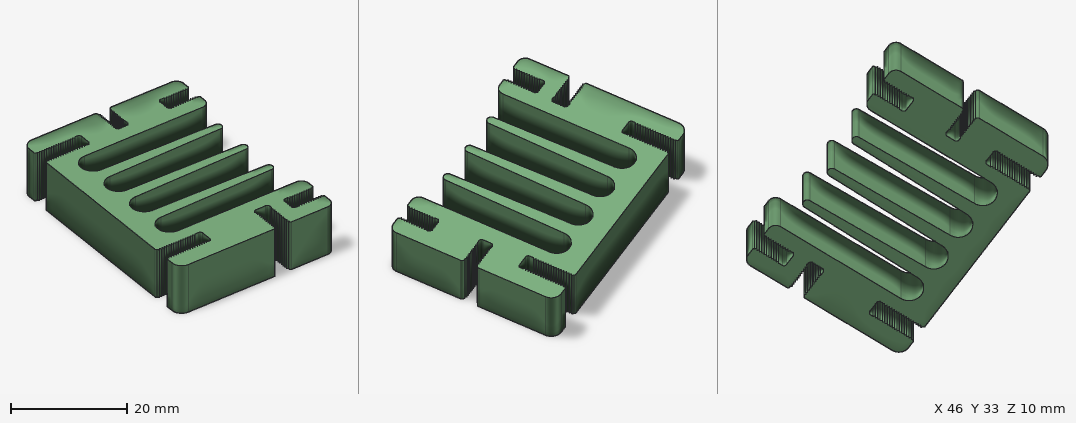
import cadquery as cq
import math

LENGTH_X = 46.0
WIDTH_Y = 33.0
HEIGHT_Z = 10.0
HALF_X = LENGTH_X / 2
HALF_Y = WIDTH_Y / 2
FRONT_CORNER_RADIUS = 2.0
REAR_CORNER_RADIUS = 1.5

FIN_COUNT = 3
FIN_ROOT_WIDTH = 2.5
FIN_TIP_WIDTH = 1.6
FIN_TIP_SETBACK = 2.0
GAP_WIDTH = 5.0
FLOOR_THICKNESS = 4.0
FIN_PITCH = GAP_WIDTH + FIN_ROOT_WIDTH
GAP_RADIUS = GAP_WIDTH / 2
BAY_WIDTH = (FIN_COUNT + 1) * GAP_WIDTH + FIN_COUNT * FIN_ROOT_WIDTH
GAP_CENTER_Y = -HALF_Y + FLOOR_THICKNESS + GAP_RADIUS

M3_WIDTH = 3.1
M3_PITCH = 0.5
M3_MOUTH_RADIUS = 0.25
M25_WIDTH = 2.6
M25_PITCH = 0.45
M25_MOUTH_RADIUS = 0.5
TOOTH_HEIGHT_PER_PITCH = 0.55
SLOT_FLOOR_RADIUS = 0.5
PLAIN_END_LENGTH = 1.0
SHORT_M3_DEPTH = 6.5
FRONT_M3_DEPTH = 9.5
M25_DEPTH = 6.0

REAR_SLOT_INSET = 4.7
FRONT_SLOT_INSET = 5.2
REAR_SLOT_X = HALF_X - REAR_SLOT_INSET
FRONT_SLOT_X = HALF_X - FRONT_SLOT_INSET
LEFT_SLOT_Y = 0.5
RIGHT_SLOT_Y = 5.5

ROUNDING_SLACK = 1e-6
ARC_MIDPOINT = math.sqrt(0.5)


def block():
    """Plain block with rounded front corners."""
    body = cq.Workplane("XY").box(LENGTH_X, WIDTH_Y, HEIGHT_Z, centered=(True, True, False))
    return body.edges("|Z and <Y").fillet(FRONT_CORNER_RADIUS)


def bay():
    """Central opening whose outline leaves the tapered, round-tipped fins standing."""
    tip_radius = FIN_TIP_WIDTH / 2
    tip_end_y = HALF_Y - FIN_TIP_SETBACK
    tip_center_y = tip_end_y - tip_radius
    outline = cq.Workplane("XY").moveTo(-BAY_WIDTH / 2, HALF_Y)
    outline = outline.lineTo(-BAY_WIDTH / 2, GAP_CENTER_Y)
    for gap in range(FIN_COUNT + 1):
        gap_x = (gap - FIN_COUNT / 2) * FIN_PITCH
        outline = outline.threePointArc(
            (gap_x, GAP_CENTER_Y - GAP_RADIUS), (gap_x + GAP_RADIUS, GAP_CENTER_Y)
        )
        if gap < FIN_COUNT:
            fin_x = gap_x + FIN_PITCH / 2
            outline = outline.lineTo(fin_x - tip_radius, tip_center_y)
            outline = outline.threePointArc((fin_x, tip_end_y), (fin_x + tip_radius, tip_center_y))
            outline = outline.lineTo(fin_x + FIN_ROOT_WIDTH / 2, GAP_CENTER_Y)
    return outline.lineTo(BAY_WIDTH / 2, HALF_Y).close().extrude(HEIGHT_Z)


def serration(wall_x, start, end, pitch):
    """Points of the whole teeth that fit between two depths, pointing toward the slot axis."""
    tip_x = wall_x - math.copysign(TOOTH_HEIGHT_PER_PITCH * pitch, wall_x)
    count = math.floor((end - start) / pitch + ROUNDING_SLACK)
    points = [(wall_x, start)]
    for tooth in range(count):
        root = start + tooth * pitch
        points.append((tip_x, root + pitch / 2))
        points.append((wall_x, root + pitch))
    return points


def screw_slot(width, depth, pitch, mouth_radius):
    """Slot cutter with its mouth centred on the origin, running along +Y.

    The teeth on the -X wall start half a pitch later than those on the +X wall.
    """
    half = width / 2
    teeth_end = depth - PLAIN_END_LENGTH
    late_wall = serration(-half, mouth_radius + pitch / 2, teeth_end, pitch)
    early_wall = serration(half, mouth_radius, teeth_end, pitch)
    mouth_sag = mouth_radius * (1 - ARC_MIDPOINT)
    floor_sag = SLOT_FLOOR_RADIUS * (1 - ARC_MIDPOINT)
    floor_start = depth - SLOT_FLOOR_RADIUS
    floor_half = half - SLOT_FLOOR_RADIUS

    outline = cq.Workplane("XY").moveTo(-half - mouth_radius, 0)
    outline = outline.threePointArc((-half - mouth_sag, mouth_sag), (-half, mouth_radius))
    for point in late_wall:
        outline = outline.lineTo(*point)
    outline = outline.lineTo(-half, floor_start)
    outline = outline.threePointArc((-half + floor_sag, depth - floor_sag), (-floor_half, depth))
    outline = outline.lineTo(floor_half, depth)
    outline = outline.threePointArc((half - floor_sag, depth - floor_sag), (half, floor_start))
    for point in reversed(early_wall[1:]):
        outline = outline.lineTo(*point)
    outline = outline.lineTo(half, mouth_radius)
    outline = outline.threePointArc((half + mouth_sag, mouth_sag), (half + mouth_radius, 0))
    return outline.close().extrude(HEIGHT_Z)


def place(cutter, x, y, angle):
    """Turn a slot cutter about Z and move its mouth to (x, y)."""
    return cutter.rotate((0, 0, 0), (0, 0, 1), angle).translate((x, y, 0))


def mirrored(cutter):
    """The same cutter on the opposite X side."""
    return cutter.mirror("YZ")


result = block().cut(bay())

result = result.edges("|Z and >Y").fillet(REAR_CORNER_RADIUS)

short_m3_slot = screw_slot(M3_WIDTH, SHORT_M3_DEPTH, M3_PITCH, M3_MOUTH_RADIUS)
front_m3_slot = screw_slot(M3_WIDTH, FRONT_M3_DEPTH, M3_PITCH, M3_MOUTH_RADIUS)
rear_cutter = place(short_m3_slot, -REAR_SLOT_X, HALF_Y, 180)
front_cutter = place(front_m3_slot, -FRONT_SLOT_X, -HALF_Y, 0)
for cutter in (rear_cutter, front_cutter):
    result = result.cut(cutter).cut(mirrored(cutter))

m25_slot = screw_slot(M25_WIDTH, M25_DEPTH, M25_PITCH, M25_MOUTH_RADIUS)
result = result.cut(place(m25_slot, -HALF_X, LEFT_SLOT_Y, -90))
result = result.cut(mirrored(place(short_m3_slot, -HALF_X, RIGHT_SLOT_Y, -90)))